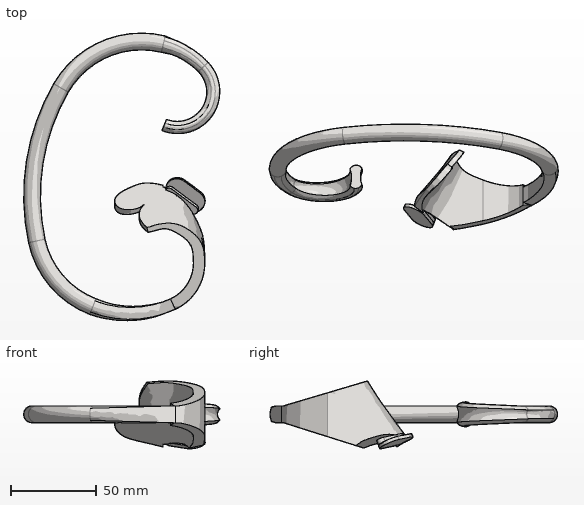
import cadquery as cq
import math

ROD_RADIUS = 5.0
TOP_ARC_CENTER = (69.3, 109.6)
TOP_ARC_RADIUS = 54.6
SIDE_ARC_RADIUS = 127.0
BOTTOM_ARC_RADIUS = 53.2
STRIP_ARC_RADIUS = 60.7
BAND_ARC_RADIUS = 26.4
SHOULDER_ARC_RADIUS = 48.5
HOOK_ARC_RADIUS = 21.0
HOOK_TIP_ANGLE = -112.0
HOOK_START_ANGLE = 44.0
TOP_START_ANGLE = 76.4
SIDE_START_ANGLE = 150.0
BOTTOM_START_ANGLE = 192.0
STRIP_START_ANGLE = 249.0
BAND_START_ANGLE = 294.6

HOOK_START_HALF_WIDTH = 4.0
HOOK_TIP_HALF_WIDTH = 3.6
HOOK_WAIST = 2.6
HOOK_CREST = 1.2
HOOK_SHOULDER_DROP = 2.0
HOOK_BULGE = 0.2
HOOK_START_HALF_HEIGHT = 4.6
HOOK_SECTION_ANGLES = [30, 65, 115, 150, 210, 245, 295, 330]
SHOULDER_STEPS = 4
HOOK_STEPS = 12
HOOK_TIP_HALF_HEIGHT = 7.2

BAND_WIDTH = 6.8
BAND_HEIGHT = 2 * ROD_RADIUS
BAND_CROWN = 0.02
STRIP_SECTION_ANGLES = [45, 135, 225, 315]
STRIP_STEPS = 4
WEDGE_START_Y = 8.0
WEDGE_TOP_ANGLE = 16.5
WEDGE_BOTTOM_ANGLE = 17.5
WALL_TOP_Z = 19.7
WALL_BOTTOM_Z = -20.0
UPPER_OUTER_CURVE = [(102.6, 48), (97.1, 53), (85.7, 57.4), (77.2, 56), (58, 54)]
UPPER_INNER_CURVE = [(95.5, 47), (91.4, 50), (82.4, 53.5), (77.2, 51.9), (58, 49)]
LOWER_OUTER_CURVE = [(105.5, 50), (101.8, 61), (91.5, 77), (70, 85.4), (40, 82.4)]
LOWER_INNER_CURVE = [(99, 49), (96, 59), (87.5, 71), (68.5, 80.3), (40, 77)]
WALL_LEAN_ANGLE = 35.0
PLATE_ORIGIN = (0, 69.0, 0)
SMALL_LOBE_START = (74, -25.5)
SMALL_LOBE_CURVE = [(69.5, -18), (68, -9), (70.7, -2)]
LARGE_LOBE_CURVE = [(62.4, -5.5), (57, -4), (53.5, 4), (57.3, 12), (70, 18.3), (82, 19)]
WALL_FOOT_START = (82, 17.5)
WALL_FOOT_END = (104, 4.5)
LOBE_TOP_CORNER = (80, -28)
TRIM_REACH = 120.0

FLANGE_CENTER = (95.3, 74.4, -16.75)
FLANGE_LONG_AXIS = (0.8, -0.58, -0.15)
FLANGE_NORMAL = (-0.14, -0.38, 0.91)
FLANGE_LENGTH = 25.5
FLANGE_WIDTH = 14.0
FLANGE_THICKNESS = 2.0
NECK_LENGTH = 23.0
NECK_WIDTH = 5.0
NECK_INSET = 3.0
NECK_HEIGHT = 5.0


def polar(center, radius, angle):
    a = math.radians(angle)
    return (center[0] + radius * math.cos(a), center[1] + radius * math.sin(a))


def tangent_center(center, radius, next_radius, angle):
    """Centre of the arc that continues another one smoothly at the given angle."""
    return polar(center, radius - next_radius, angle)


SIDE_ARC_CENTER = tangent_center(TOP_ARC_CENTER, TOP_ARC_RADIUS, SIDE_ARC_RADIUS, SIDE_START_ANGLE)
BOTTOM_ARC_CENTER = tangent_center(SIDE_ARC_CENTER, SIDE_ARC_RADIUS, BOTTOM_ARC_RADIUS, BOTTOM_START_ANGLE)
STRIP_ARC_CENTER = tangent_center(BOTTOM_ARC_CENTER, BOTTOM_ARC_RADIUS, STRIP_ARC_RADIUS, STRIP_START_ANGLE)
BAND_ARC_CENTER = tangent_center(STRIP_ARC_CENTER, STRIP_ARC_RADIUS, BAND_ARC_RADIUS, BAND_START_ANGLE)
SHOULDER_ARC_CENTER = tangent_center(TOP_ARC_CENTER, TOP_ARC_RADIUS, SHOULDER_ARC_RADIUS, TOP_START_ANGLE)
HOOK_ARC_CENTER = tangent_center(SHOULDER_ARC_CENTER, SHOULDER_ARC_RADIUS, HOOK_ARC_RADIUS, HOOK_START_ANGLE)


def rod_piece(center, radius, start, end):
    """Round bar bent along one arc."""
    path = cq.Workplane("XY").moveTo(*polar(center, radius, start)).threePointArc(
        polar(center, radius, (start + end) / 2), polar(center, radius, end))
    plane = section_plane(center, radius, start)
    return cq.Workplane(plane).circle(ROD_RADIUS).sweep(path)


def section_plane(center, radius, angle):
    """Plane across the bar: local x points radially outward, local y along Z."""
    x, y = polar(center, radius, angle)
    a = math.radians(angle)
    outward = (math.cos(a), math.sin(a), 0)
    return cq.Plane(origin=(x, y, 0), xDir=outward, normal=(math.sin(a), -math.cos(a), 0))


def arc_wire(plane, corners, mids):
    """Closed outline of arcs: each arc runs from a corner through its midpoint to the next corner."""
    outline = cq.Workplane(plane).moveTo(*corners[0])
    for mid, corner in zip(mids, corners[1:] + corners[:1]):
        outline = outline.threePointArc(mid, corner)
    return outline.close().val()


def blend(start, end, fraction):
    return [tuple(a + (b - a) * fraction for a, b in zip(p, q)) for p, q in zip(start, end)]


def round_shape(angles):
    """Corners and arc midpoints of the rod circle, split at the given angles."""
    following = angles[1:] + [angles[0] + 360]
    corners = [polar((0, 0), ROD_RADIUS, a) for a in angles]
    mids = [polar((0, 0), ROD_RADIUS, (a + b) / 2) for a, b in zip(angles, following)]
    return corners, mids


def hook_shape(half_width, half_height):
    """Grooved bar: narrow crests, wide shoulders and a waist on both sides."""
    shoulder = half_height - HOOK_SHOULDER_DROP
    crest_mid = half_height + HOOK_BULGE
    flank = ((half_width + HOOK_CREST) / 2 + HOOK_BULGE,
             (shoulder + half_height) / 2 + HOOK_BULGE)
    quarter = [(half_width, shoulder), (HOOK_CREST, half_height)]
    corners = quarter + [(-x, y) for x, y in reversed(quarter)]
    corners += [(-x, -y) for x, y in corners]
    half_mids = [flank, (0, crest_mid), (-flank[0], flank[1]), (-HOOK_WAIST, 0)]
    mids = half_mids + [(-x, -y) for x, y in half_mids]
    return corners, mids


def strip_shape():
    """Flat band section with very slightly crowned faces."""
    half_width = BAND_WIDTH / 2
    half_height = BAND_HEIGHT / 2
    corners = [(half_width, half_height), (-half_width, half_height),
               (-half_width, -half_height), (half_width, -half_height)]
    mids = [(0, half_height + BAND_CROWN), (-half_width - BAND_CROWN, 0),
            (0, -half_height - BAND_CROWN), (half_width + BAND_CROWN, 0)]
    return corners, mids


def morphing_piece(center, radius, start, end, shape_start, shape_end, steps):
    """Bar along one arc whose section changes evenly from one shape to another."""
    wires = []
    for i in range(steps + 1):
        fraction = i / steps
        plane = section_plane(center, radius, start + (end - start) * fraction)
        corners = blend(shape_start[0], shape_end[0], fraction)
        mids = blend(shape_start[1], shape_end[1], fraction)
        wires.append(arc_wire(plane, corners, mids))
    return cq.Workplane(obj=cq.Solid.makeLoft(wires, False))


def make_rod():
    rod = rod_piece(TOP_ARC_CENTER, TOP_ARC_RADIUS, TOP_START_ANGLE, SIDE_START_ANGLE)
    rod = rod.union(rod_piece(SIDE_ARC_CENTER, SIDE_ARC_RADIUS, SIDE_START_ANGLE, BOTTOM_START_ANGLE))
    return rod.union(rod_piece(BOTTOM_ARC_CENTER, BOTTOM_ARC_RADIUS, BOTTOM_START_ANGLE, STRIP_START_ANGLE))


def make_hook():
    circle = round_shape(HOOK_SECTION_ANGLES)
    hook_start = hook_shape(HOOK_START_HALF_WIDTH, HOOK_START_HALF_HEIGHT)
    hook_tip = hook_shape(HOOK_TIP_HALF_WIDTH, HOOK_TIP_HALF_HEIGHT)
    shoulder = morphing_piece(SHOULDER_ARC_CENTER, SHOULDER_ARC_RADIUS, TOP_START_ANGLE,
                              HOOK_START_ANGLE, circle, hook_start, SHOULDER_STEPS)
    hook = morphing_piece(HOOK_ARC_CENTER, HOOK_ARC_RADIUS, HOOK_START_ANGLE,
                          HOOK_TIP_ANGLE, hook_start, hook_tip, HOOK_STEPS)
    return shoulder.union(hook)


def make_strip():
    circle = round_shape(STRIP_SECTION_ANGLES)
    return morphing_piece(STRIP_ARC_CENTER, STRIP_ARC_RADIUS, STRIP_START_ANGLE,
                          BAND_START_ANGLE, circle, strip_shape(), STRIP_STEPS)


def wall_outline(z, outer_tail, inner_tail):
    """Horizontal outline of the wall: the band's circle, then two free curves to the lobe end."""
    outer_radius = BAND_ARC_RADIUS + BAND_WIDTH / 2
    inner_radius = BAND_ARC_RADIUS - BAND_WIDTH / 2
    middle_angle = (BAND_START_ANGLE + 360) / 2
    return (
        cq.Workplane("XY", origin=(0, 0, z))
        .moveTo(*polar(BAND_ARC_CENTER, outer_radius, BAND_START_ANGLE))
        .threePointArc(polar(BAND_ARC_CENTER, outer_radius, middle_angle),
                       polar(BAND_ARC_CENTER, outer_radius, 0))
        .spline(outer_tail, tangents=[(0, 1), (-1, 0)], includeCurrent=True)
        .lineTo(*inner_tail[-1])
        .spline(inner_tail[-2::-1] + [polar(BAND_ARC_CENTER, inner_radius, 0)],
                tangents=[(1, 0), (0, -1)], includeCurrent=True)
        .threePointArc(polar(BAND_ARC_CENTER, inner_radius, middle_angle),
                       polar(BAND_ARC_CENTER, inner_radius, BAND_START_ANGLE))
        .close()
        .val()
    )


def make_leaning_wall():
    upper = wall_outline(WALL_TOP_Z, UPPER_OUTER_CURVE, UPPER_INNER_CURVE)
    lower = wall_outline(WALL_BOTTOM_Z, LOWER_OUTER_CURVE, LOWER_INNER_CURVE)
    return cq.Workplane(obj=cq.Solid.makeLoft([upper, lower], True))


def wedge_envelope():
    """Side taper: the wall grows evenly above and below the band."""
    rise = TRIM_REACH * math.tan(math.radians(WEDGE_TOP_ANGLE))
    drop = TRIM_REACH * math.tan(math.radians(WEDGE_BOTTOM_ANGLE))
    end_y = WEDGE_START_Y + TRIM_REACH
    half = BAND_HEIGHT / 2
    return (
        cq.Workplane("YZ")
        .polyline([(0, half), (WEDGE_START_Y, half), (end_y, half + rise),
                   (end_y, -half - drop), (WEDGE_START_Y, -half), (0, -half)])
        .close()
        .extrude(TRIM_REACH)
    )


def lobe_envelope():
    """Two-lobed outline, square to the leaning plate; local y runs down the plate."""
    lean = math.radians(WALL_LEAN_ANGLE)
    plane = cq.Plane(origin=PLATE_ORIGIN, xDir=(1, 0, 0), normal=(0, math.cos(lean), math.sin(lean)))
    return (
        cq.Workplane(plane)
        .moveTo(*SMALL_LOBE_START)
        .spline(SMALL_LOBE_CURVE, includeCurrent=True)
        .spline(LARGE_LOBE_CURVE, includeCurrent=True)
        .lineTo(*WALL_FOOT_START)
        .lineTo(*WALL_FOOT_END)
        .lineTo(TRIM_REACH, WALL_FOOT_END[1])
        .lineTo(TRIM_REACH, -TRIM_REACH)
        .lineTo(LOBE_TOP_CORNER[0], -TRIM_REACH)
        .lineTo(*LOBE_TOP_CORNER)
        .close()
        .extrude(TRIM_REACH, both=True)
    )


def make_flange():
    """Rounded flange with a narrow neck reaching up into the wall."""
    plane = cq.Plane(origin=FLANGE_CENTER, xDir=FLANGE_LONG_AXIS, normal=FLANGE_NORMAL)
    flange = cq.Workplane(plane).slot2D(FLANGE_LENGTH, FLANGE_WIDTH).extrude(FLANGE_THICKNESS)
    neck = cq.Workplane(plane).center(0, -NECK_INSET).slot2D(NECK_LENGTH, NECK_WIDTH).extrude(NECK_HEIGHT)
    return flange.union(neck)


def make_wall():
    wall = make_leaning_wall().intersect(lobe_envelope()).intersect(wedge_envelope())
    return wall.union(make_flange())


result = make_rod().union(make_hook()).union(make_strip()).union(make_wall())